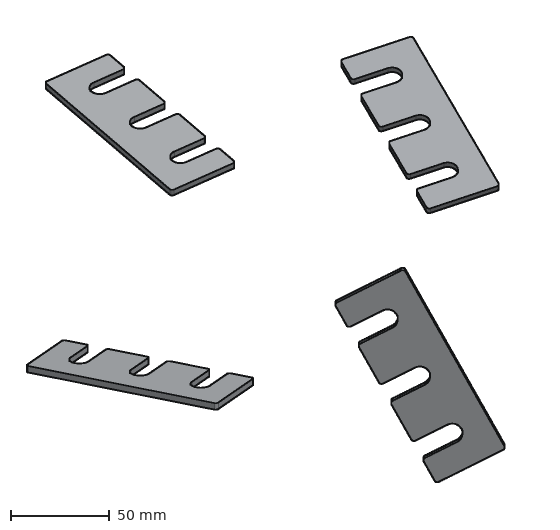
import cadquery as cq

length = 110.0
width = 40.0
thickness = 3.6
corner_radius = 1.5

slot_count = 3
slot_width = 10.5
slot_depth = 25.2
slot_pitch = 35.0


def slot_cutter(x_center):
    """Round-bottomed slot open through the +Y edge, cutting the full thickness."""
    radius = slot_width / 2
    edge_y = width / 2
    arc_start_y = edge_y - slot_depth + radius
    return (
        cq.Workplane("XY")
        .moveTo(x_center - radius, edge_y)
        .lineTo(x_center - radius, arc_start_y)
        .threePointArc((x_center, edge_y - slot_depth), (x_center + radius, arc_start_y))
        .lineTo(x_center + radius, edge_y)
        .close()
        .extrude(thickness)
    )


plate = cq.Workplane("XY").box(length, width, thickness, centered=(True, True, False))
for index in range(slot_count):
    slot_x = (index - (slot_count - 1) / 2) * slot_pitch
    plate = plate.cut(slot_cutter(slot_x))

long_edge_corners = plate.faces("<Y or >Y").edges("|Z")
result = long_edge_corners.fillet(corner_radius)